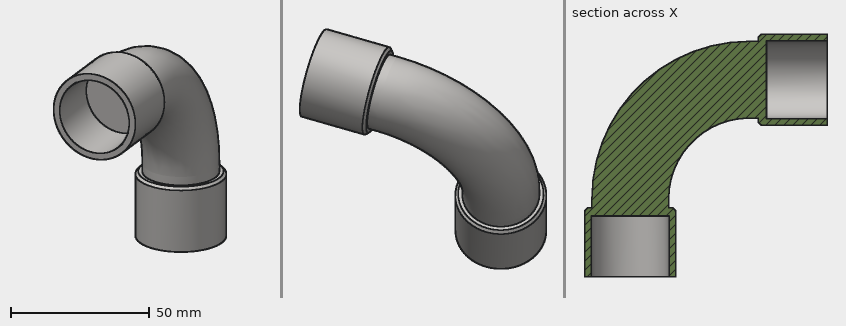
import cadquery as cq

overall_length = 87.7
socket_diameter = 33.0
pipe_diameter = 28.0

socket_length = 25.0
socket_depth = 21.9
socket_chamfer = 1.05

straight_length = 3.25
axis_reach = overall_length - socket_diameter / 2
bend_radius = axis_reach - socket_length - straight_length


def make_socket():
    """Upright socket, open at Z = 0, chamfered on the pipe side."""
    body = cq.Workplane("XY").circle(socket_diameter / 2).extrude(socket_length)
    body = body.faces(">Z").chamfer(socket_chamfer)
    bore = cq.Workplane("XY").circle(pipe_diameter / 2).extrude(socket_depth)
    return body.cut(bore)


def make_elbow_pipe():
    """Solid pipe rising from the lower socket and bending toward -Y."""
    straight_end = socket_length + straight_length
    riser = (
        cq.Workplane("XY", origin=(0, 0, socket_length))
        .circle(pipe_diameter / 2)
        .extrude(straight_length)
    )
    bend = (
        cq.Workplane("XY", origin=(0, 0, straight_end))
        .circle(pipe_diameter / 2)
        .revolve(90, (0, -bend_radius, 0), (1, -bend_radius, 0))
    )
    run = (
        cq.Workplane("XZ", origin=(0, -bend_radius, axis_reach))
        .circle(pipe_diameter / 2)
        .extrude(straight_length)
    )
    return riser.union(bend).union(run)


lower_socket = make_socket()
upper_socket = (
    make_socket()
    .rotate((0, 0, 0), (1, 0, 0), -90)
    .translate((0, -axis_reach, axis_reach))
)

result = make_elbow_pipe().union(lower_socket).union(upper_socket)